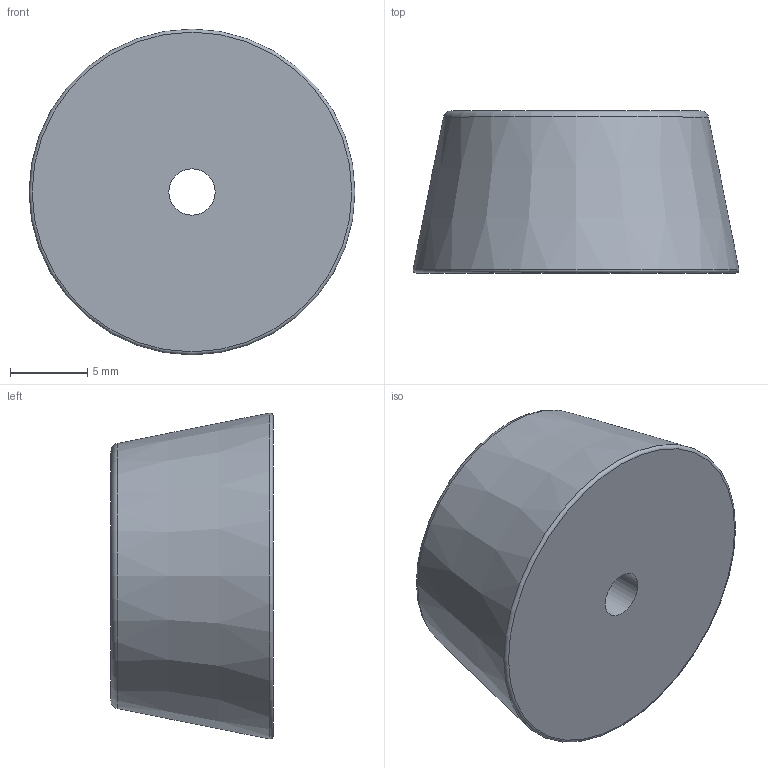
import cadquery as cq

length = 10.5
wide_diameter = 21.2
narrow_diameter = 17.0
wide_edge_radius = 0.2
narrow_edge_radius = 0.5
hole_diameter = 3.0


def make_tapered_body():
    """Cone frustum, wide at Y = 0 and narrow at Y = length, with rounded rims."""
    wide_radius = wide_diameter / 2
    narrow_radius = narrow_diameter / 2
    half_profile = (
        cq.Workplane("XY")
        .moveTo(0, 0)
        .lineTo(wide_radius, 0)
        .lineTo(narrow_radius, length)
        .lineTo(0, length)
        .close()
    )
    body = half_profile.revolve(360, (0, 0, 0), (0, 1, 0))
    body = body.faces("<Y").edges().fillet(wide_edge_radius)
    return body.faces(">Y").edges().fillet(narrow_edge_radius)


def make_through_hole():
    """Cylinder along the axis, as long as the body."""
    return cq.Workplane("XZ").circle(hole_diameter / 2).extrude(-length)


result = make_tapered_body().cut(make_through_hole())